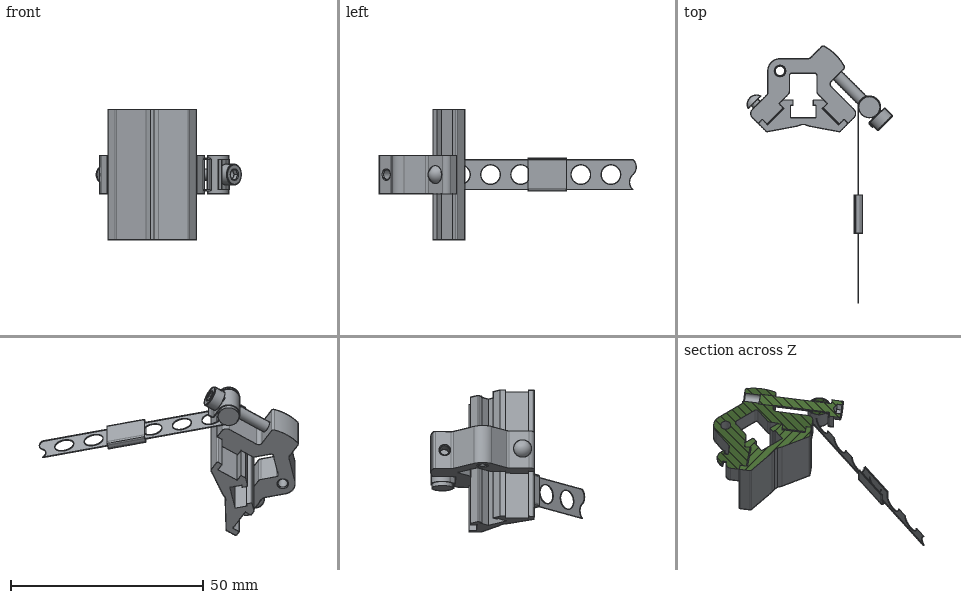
import cadquery as cq
import math

ROOT2 = math.sqrt(2)

rail_length = 34.0
channel_half_width = 3.3
channel_depth = 3.15
lip_half_gap = 2.6
rail_top = 4.6
shoulder_x = 5.3
shoulder_drop = 1.0
neck_inset = 1.3
groove_run = 4.2
hook_rise = 1.4
hook_width = 1.1
foot_y = -3.75
notch_half_width = 1.6
notch_y = -2.3
notch_flat_half_width = 0.5
notch_top_y = -1.9
rail_lip_radius = 0.3
rail_foot_radius = 0.4

bracket_height = 9.95
bracket_half_width = 9.2
bracket_top = 15.3
bracket_corner_radius = 3.2
window_half_width = 3.55
window_top = 11.5
leg_sum = 15.3
leg_gap = 0.2
leg_corner_radius = 1.5
elbow_radius = 1.0
window_radius = 0.55
boss_back = -13.65
boss_front = -2.1
boss_corner_sum = 23.9
boss_crown_sum = 24.8
boss_edge_radius = 0.7
tapped_diameter = 2.5
countersink_diameter = 3.0

button_sum = 8.7
button_shank_diameter = 2.5
button_shank_length = 0.95
button_head_diameter = 4.7
button_head_height = 1.7

barrel_diameter = 5.5
barrel_x = 17.2
barrel_y = 2.7
clearance_diameter = 3.2
screw_diameter = 3.0
screw_engagement = 4.0
head_diameter = 5.5
head_length = 3.0
head_chamfer = 0.2
socket_width = 2.5
socket_depth = 1.5
socket_rim_diameter = 3.0
socket_drill_angle = 120

band_width = 7.8
band_thickness = 0.2
band_hole_diameter = 5.0
band_hole_pitch = 7.8
first_hole_y = -2.55
band_hole_count = 6
band_end_y = -47.4
wave_height = 0.9
flap_length = 3.15
flap_fold = 1.35
fold_inner_radius = 0.2
sleeve_length = 9.95
sleeve_top_y = -20.1
sleeve_wall = 0.4
sleeve_width = 2.2
sleeve_radius = 0.7

shoulder_tip = (shoulder_x + shoulder_drop, rail_top - shoulder_drop)
neck = (shoulder_tip[0] - neck_inset, shoulder_tip[1] - neck_inset)
groove_end = (neck[0] + groove_run, neck[1] - groove_run)
hook_tip = (groove_end[0] + hook_rise, groove_end[1] + hook_rise)
hook_outer = (hook_tip[0] + hook_width, hook_tip[1] - hook_width)
foot = (foot_y + hook_outer[0] - hook_outer[1], foot_y)


def mirrored(points):
    """The same points on the -X side, in reverse order."""
    return [(-x, y) for x, y in reversed(points)]


def from_sums(total, difference):
    """The point with the given X + Y and X - Y."""
    return ((total + difference) / 2, (total - difference) / 2)


def slab(sketch, height):
    """Extrude an outline in the XY plane to both sides of Z = 0."""
    return sketch.extrude(height / 2, both=True)


def diagonal_plane(origin, direction):
    """A plane at Z = 0 whose normal is a direction in XY and whose x axis is +Z."""
    return cq.Plane(origin=(*origin, 0), xDir=(0, 0, 1), normal=(*direction, 0))


def round_edges(body, points, radius):
    """Fillet the edges along Z that pass through the given points."""
    for x, y in points:
        body = body.edges(cq.selectors.NearestToPointSelector((x, y, 0))).fillet(radius)
    return body


screw_direction = (1 / ROOT2, -1 / ROOT2)
screw_sum = barrel_x + barrel_y
boss_entry = from_sums(screw_sum, boss_front)
boss_exit = from_sums(screw_sum, boss_back)
barrel_center = (barrel_x, barrel_y)
barrel_radius = barrel_diameter / 2
band_outer_radius = barrel_radius + band_thickness


def from_barrel(along, across=0):
    """A point at a distance along the screw axis from the barrel, and to the lower left of the axis."""
    return (barrel_x + (along - across) / ROOT2, barrel_y - (along + across) / ROOT2)


def make_rail():
    half = [
        (channel_half_width, 0),
        (channel_half_width, channel_depth),
        (lip_half_gap, channel_depth),
        (lip_half_gap, rail_top),
        (shoulder_x, rail_top),
        shoulder_tip,
        neck,
        groove_end,
        hook_tip,
        hook_outer,
        foot,
        (notch_half_width, notch_y),
        (notch_flat_half_width, notch_top_y),
    ]
    rail = slab(cq.Workplane().polyline(half + mirrored(half)).close(), rail_length)
    lip_edge = [(lip_half_gap, rail_top)]
    foot_edges = [hook_outer, foot]
    rail = round_edges(rail, lip_edge + mirrored(lip_edge), rail_lip_radius)
    return round_edges(rail, foot_edges + mirrored(foot_edges), rail_foot_radius)


def make_bracket():
    leg_outer = from_sums(leg_sum, hook_outer[0] - hook_outer[1])
    gap_step = leg_gap / ROOT2
    leg_inside = [
        (window_half_width, window_top),
        (window_half_width, sum(shoulder_tip) - window_half_width),
        shoulder_tip,
        (neck[0] + gap_step, neck[1] + gap_step),
        (groove_end[0] + gap_step, groove_end[1] + gap_step),
        hook_tip,
        hook_outer,
        leg_outer,
    ]
    left_elbow = (-bracket_half_width, leg_sum - bracket_half_width)
    left_corner = (-bracket_half_width, bracket_top)
    boss_root = (bracket_top + boss_back, bracket_top)
    back_corner = from_sums(boss_corner_sum, boss_back)
    front_corner = from_sums(boss_corner_sum, boss_front)
    crown = from_sums(boss_crown_sum, (boss_back + boss_front) / 2)
    slot_root = from_sums(leg_sum, boss_front)

    outline = (
        cq.Workplane()
        .polyline(mirrored(leg_inside) + leg_inside)
        .lineTo(*slot_root)
        .lineTo(*front_corner)
        .threePointArc(crown, back_corner)
        .lineTo(*boss_root)
        .lineTo(*left_corner)
        .lineTo(*left_elbow)
        .close()
    )
    bracket = slab(outline, bracket_height)

    bracket = round_edges(bracket, [leg_outer] + mirrored([leg_outer]), leg_corner_radius)
    bracket = round_edges(bracket, [left_corner], bracket_corner_radius)
    bracket = round_edges(bracket, [left_elbow, boss_root, slot_root], elbow_radius)
    window_corner = leg_inside[:1]
    leg_bend = leg_inside[1:2]
    bracket = round_edges(bracket, window_corner + mirrored(window_corner), window_radius)
    bracket = round_edges(bracket, leg_bend + mirrored(leg_bend), elbow_radius)
    bracket = round_edges(bracket, [back_corner, front_corner], boss_edge_radius)
    bracket = bracket.cut(make_corner_hole()).cut(make_boss_hole())
    return bracket.union(make_button())


def make_tapped_hole(plane, length):
    """A cutter for a tapped hole that starts with a 45 degree countersink on the given plane."""
    radius = tapped_diameter / 2
    rim = countersink_diameter / 2
    hole = cq.Workplane(plane).circle(radius).extrude(length)
    countersink = cq.Solid.makeCone(rim, radius, rim - radius, pnt=plane.origin, dir=plane.zDir)
    return hole.union(cq.Workplane(countersink))


def make_corner_hole():
    """The hole along Z in the rounded corner, countersunk at both ends."""
    x = bracket_corner_radius - bracket_half_width
    y = bracket_top - bracket_corner_radius
    top_plane = cq.Plane((x, y, bracket_height / 2), normal=(0, 0, -1))
    upper = make_tapped_hole(top_plane, bracket_height)
    return upper.union(upper.mirror("XY"))


def make_boss_hole():
    """The tapped hole through the boss, opened up to the screw diameter where the screw sits."""
    length = (boss_front - boss_back) / ROOT2
    tapped = make_tapped_hole(diagonal_plane(boss_exit, screw_direction), length)
    inward = (-screw_direction[0], -screw_direction[1])
    seat = cq.Workplane(diagonal_plane(boss_entry, inward)).circle(screw_diameter / 2)
    return tapped.union(seat.extrude(screw_engagement))


def make_button():
    """The mushroom-shaped hook for the band holes, standing square on the -X leg."""
    root = (-(leg_sum + button_sum) / 2, (leg_sum - button_sum) / 2)
    axial_plane = cq.Plane(origin=(*root, 0), xDir=(0, 0, 1), normal=(-1, -1, 0))
    shank_radius = button_shank_diameter / 2
    head_radius = button_head_diameter / 2
    top = button_shank_length + button_head_height
    dome_radius = (head_radius**2 + button_head_height**2) / (2 * button_head_height)
    dome_middle = (dome_radius / ROOT2, top - dome_radius + dome_radius / ROOT2)
    profile = (
        cq.Workplane(axial_plane)
        .lineTo(shank_radius, 0)
        .lineTo(shank_radius, button_shank_length)
        .lineTo(head_radius, button_shank_length)
        .threePointArc(dome_middle, (0, top))
        .close()
    )
    return profile.revolve(360, (0, 0), (0, 1))


def make_barrel():
    barrel = slab(cq.Workplane().center(*barrel_center).circle(barrel_radius), bracket_height)
    return barrel.cut(make_clearance())


def make_clearance():
    """The cutter for the screw clearance through the barrel and both sides of the band loop."""
    reach = barrel_diameter
    start = diagonal_plane(from_barrel(-reach), screw_direction)
    return cq.Workplane(start).circle(clearance_diameter / 2).extrude(2 * reach)


def make_screw():
    shank_length = math.dist(boss_entry, from_barrel(band_outer_radius)) + screw_engagement
    seat = diagonal_plane(from_barrel(band_outer_radius), screw_direction)
    head = cq.Workplane(seat).circle(head_diameter / 2).extrude(head_length)
    head = head.faces(cq.selectors.DirectionMinMaxSelector(cq.Vector(*screw_direction, 0)))
    head = head.chamfer(head_chamfer)
    shank = cq.Workplane(seat).circle(screw_diameter / 2).extrude(-shank_length)
    return head.union(shank).cut(make_socket())


def make_socket():
    """The cutter for the hexagon socket, with a conical bottom and a countersunk rim."""
    inward = (-screw_direction[0], -screw_direction[1])
    mouth = diagonal_plane(from_barrel(band_outer_radius + head_length), inward)
    drill_radius = socket_width / 2
    rim_radius = socket_rim_diameter / 2
    tip_length = drill_radius / math.tan(math.radians(socket_drill_angle / 2))
    corner_diameter = socket_width / math.cos(math.pi / 6)
    half_corner = 360 / 12
    turned = cq.Workplane(mouth).transformed(rotate=(0, 0, half_corner))
    hexagon = turned.polygon(6, corner_diameter).extrude(socket_depth)
    bottom = mouth.toWorldCoords((0, 0, socket_depth))
    drill_tip = cq.Solid.makeCone(drill_radius, 0, tip_length, pnt=bottom, dir=mouth.zDir)
    rim_depth = rim_radius - drill_radius
    rim = cq.Solid.makeCone(rim_radius, drill_radius, rim_depth, pnt=mouth.origin, dir=mouth.zDir)
    return hexagon.union(cq.Workplane(drill_tip)).union(cq.Workplane(rim))


def make_band():
    band = slab(band_outline(), band_width)
    outer_bend = from_barrel(barrel_radius, flap_length)
    inner_bend = from_barrel(band_outer_radius, flap_length - band_thickness)
    band = round_edges(band, [outer_bend], fold_inner_radius + band_thickness)
    band = round_edges(band, [inner_bend], fold_inner_radius)
    band = band.cut(make_clearance())
    for index in range(band_hole_count):
        hole_y = first_hole_y - index * band_hole_pitch
        hole = band_cutter().center(hole_y, 0).circle(band_hole_diameter / 2)
        band = band.cut(hole.extrude(band_thickness))
    return band.cut(make_wavy_end()).union(make_sleeve())


def band_outline():
    """The strip: up the -X side of the barrel, round it, then flat under the screw head to a folded end."""
    inner_x = barrel_x - barrel_radius
    outer_x = barrel_x - band_outer_radius
    lowest_y = band_end_y - wave_height
    fold_top = band_outer_radius + flap_fold
    wrap_start = 180
    wrap_end = -45
    wrap_middle = math.radians((wrap_start + wrap_end) / 2)
    cosine, sine = math.cos(wrap_middle), math.sin(wrap_middle)
    inner_middle = (barrel_x + barrel_radius * cosine, barrel_y + barrel_radius * sine)
    outer_middle = (barrel_x + band_outer_radius * cosine, barrel_y + band_outer_radius * sine)
    return (
        cq.Workplane()
        .moveTo(inner_x, lowest_y)
        .lineTo(inner_x, barrel_y)
        .threePointArc(inner_middle, from_barrel(barrel_radius))
        .lineTo(*from_barrel(barrel_radius, flap_length))
        .lineTo(*from_barrel(fold_top, flap_length))
        .lineTo(*from_barrel(fold_top, flap_length - band_thickness))
        .lineTo(*from_barrel(band_outer_radius, flap_length - band_thickness))
        .lineTo(*from_barrel(band_outer_radius))
        .threePointArc(outer_middle, (outer_x, barrel_y))
        .lineTo(outer_x, lowest_y)
        .close()
    )


def band_cutter():
    """A YZ workplane on the -X face of the straight part of the band."""
    return cq.Workplane("YZ", origin=(barrel_x - band_outer_radius, 0, 0))


def make_wavy_end():
    """The cutter that leaves an S-shaped end: bulging out in the upper half, hollow in the lower."""
    half_width = band_width / 2
    beyond_y = band_end_y - 2 * wave_height
    end = (
        band_cutter()
        .moveTo(band_end_y, half_width)
        .threePointArc((band_end_y - wave_height, half_width / 2), (band_end_y, 0))
        .threePointArc((band_end_y + wave_height, -half_width / 2), (band_end_y, -half_width))
        .lineTo(beyond_y, -half_width)
        .lineTo(beyond_y, half_width)
        .close()
    )
    return end.extrude(band_thickness)


def make_sleeve():
    """The keeper: a flat tube that holds the band by its two edges."""
    middle_x = barrel_x - barrel_radius - band_thickness / 2
    end = cq.Workplane("XZ", origin=(middle_x, sleeve_top_y, 0))
    outer_height = band_width + 2 * sleeve_wall
    sleeve = end.rect(sleeve_width, outer_height).extrude(sleeve_length)
    sleeve = sleeve.edges("|Y").fillet(sleeve_radius)
    opening = end.rect(sleeve_width - 2 * sleeve_wall, band_width).extrude(sleeve_length)
    return sleeve.cut(opening)


rail = make_rail()
bracket = make_bracket()
barrel = make_barrel()
screw = make_screw()
band = make_band()

result = cq.Compound.makeCompound([rail.val(), bracket.val(), barrel.val(), screw.val(), band.val()])